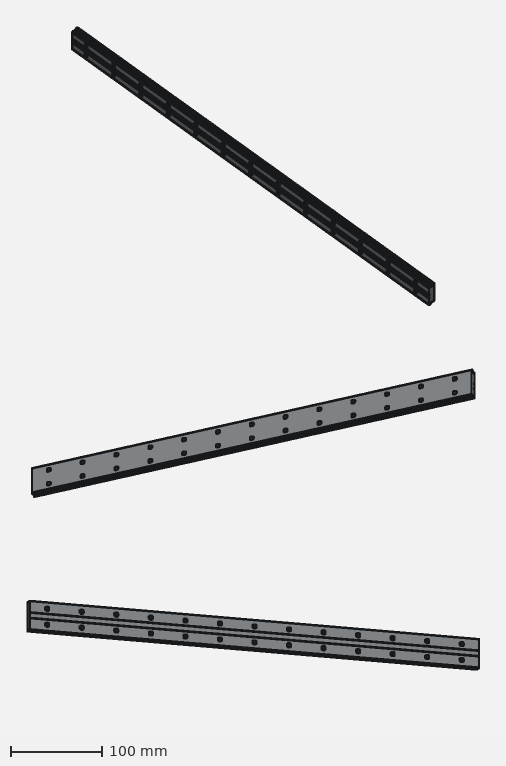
import cadquery as cq

length = 520.0
thickness = 9.0
height = 33.0
corner_chamfer = 0.5

holes_per_row = 13
row_count = 2
hole_diameter = 4.45
gap_between_rows = 13.5
hole_pitch = length / holes_per_row
row_spacing = gap_between_rows + hole_diameter

edge_groove_mouth = 4.0
edge_groove_floor = edge_groove_mouth / 2
edge_groove_depth = 1.0

face_groove_size = 0.5
face_groove_spacing = 6.0


def full_length_bar(outline):
    """Solid running the whole length, from a closed (y, z) outline."""
    return cq.Workplane("YZ").polyline(outline).close().extrude(length / 2, both=True)


def edge_groove(side):
    """Tapered groove cutter for the top (side 1) or bottom (side -1) surface."""
    surface_z = side * height / 2
    floor_z = surface_z - side * edge_groove_depth
    return full_length_bar(
        [
            (-edge_groove_mouth / 2, surface_z),
            (-edge_groove_floor / 2, floor_z),
            (edge_groove_floor / 2, floor_z),
            (edge_groove_mouth / 2, surface_z),
        ]
    )


def face_groove(side):
    """Square groove cutter above (side 1) or below (side -1) the face centreline."""
    face_y = -thickness / 2
    floor_y = face_y + face_groove_size
    center_z = side * face_groove_spacing / 2
    low_z = center_z - face_groove_size / 2
    high_z = center_z + face_groove_size / 2
    return full_length_bar([(face_y, low_z), (floor_y, low_z), (floor_y, high_z), (face_y, high_z)])


def mounting_holes():
    """Cutters for both rows of through holes."""
    return (
        cq.Workplane("XZ")
        .rarray(hole_pitch, row_spacing, holes_per_row, row_count)
        .circle(hole_diameter / 2)
        .extrude(thickness, both=True)
    )


bar = cq.Workplane("XY").box(length, thickness, height).edges("|X").chamfer(corner_chamfer)

for side in (-1, 1):
    bar = bar.cut(edge_groove(side)).cut(face_groove(side))

result = bar.cut(mounting_holes())